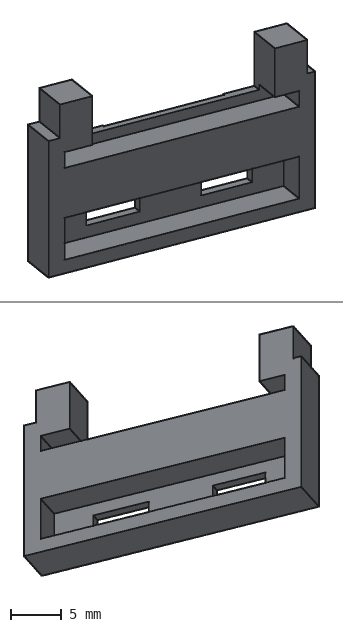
import cadquery as cq

THICKNESS = 4.1
LENGTH = 30.15
HEIGHT = 18.8
Y_MIN = -LENGTH / 2
Y_MAX = LENGTH / 2

SHOULDER_Z = 15.1
GAP_FLOOR_Z = 12.85
ARM_WIDTH = 3.68
GAP_Y_MIN = -10.1
GAP_Y_MAX = 10.52

WEB_THICKNESS = 1.0
END_WALL = 1.8

SHELF_Z = GAP_FLOOR_Z - 1.18
UNDERCUT_TOP_Z = GAP_FLOOR_Z + 0.57

SLOTS = [(-9.0, -2.98), (3.98, 9.7)]
SLOT_BOTTOM_Z = 2.83
SLOT_HEIGHT = 2.0
SLOT_TOP_Z = SLOT_BOTTOM_Z + SLOT_HEIGHT

POCKET_MARGIN = 1.33

LABEL_Y_MIN = -6.6
LABEL_Y_MAX = 7.02
LABEL_BOTTOM_Z = 10.22
LABEL_DEPTH = 0.18


def block(x_min, x_max, y_min, y_max, z_min, z_max):
    """Box spanning the given limits."""
    size = (x_max - x_min, y_max - y_min, z_max - z_min)
    return cq.Workplane("XY").box(*size, centered=False).translate((x_min, y_min, z_min))


def plate():
    """Stepped plate with two arms rising above its shoulders."""
    outline = [
        (Y_MIN, 0),
        (Y_MAX, 0),
        (Y_MAX, SHOULDER_Z),
        (GAP_Y_MAX + ARM_WIDTH, SHOULDER_Z),
        (GAP_Y_MAX + ARM_WIDTH, HEIGHT),
        (GAP_Y_MAX, HEIGHT),
        (GAP_Y_MAX, GAP_FLOOR_Z),
        (GAP_Y_MIN, GAP_FLOOR_Z),
        (GAP_Y_MIN, HEIGHT),
        (GAP_Y_MIN - ARM_WIDTH, HEIGHT),
        (GAP_Y_MIN - ARM_WIDTH, SHOULDER_Z),
        (Y_MIN, SHOULDER_Z),
    ]
    return cq.Workplane("YZ").polyline(outline).close().extrude(THICKNESS)


def rear_pocket(z_min, z_max):
    """Pocket open to the back, closed by the end walls and the web."""
    return block(WEB_THICKNESS, THICKNESS, Y_MIN + END_WALL, Y_MAX - END_WALL, z_min, z_max)


result = plate()
result = result.cut(rear_pocket(SHELF_Z, UNDERCUT_TOP_Z))
result = result.cut(rear_pocket(SLOT_BOTTOM_Z - POCKET_MARGIN, SLOT_TOP_Z + POCKET_MARGIN))

for slot_start, slot_end in SLOTS:
    result = result.cut(block(0, WEB_THICKNESS, slot_start, slot_end, SLOT_BOTTOM_Z, SLOT_TOP_Z))

result = result.cut(block(0, LABEL_DEPTH, LABEL_Y_MIN, LABEL_Y_MAX, LABEL_BOTTOM_Z, GAP_FLOOR_Z))